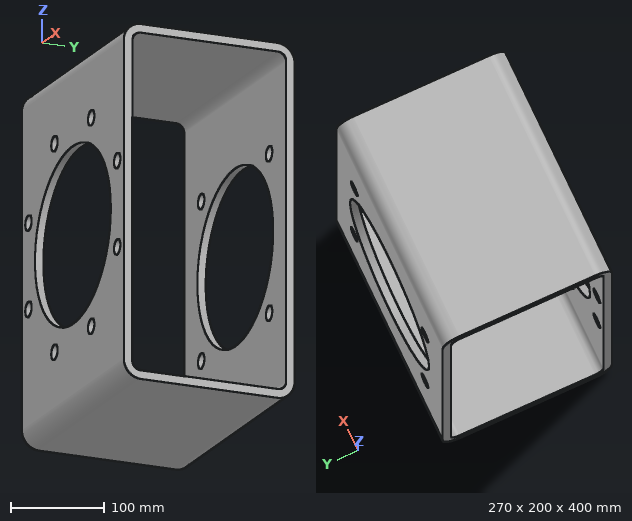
import cadquery as cq

length = 270.0
depth = 200.0
height = 400.0
wall = 10.0
outer_radius = 20.0
inner_radius = outer_radius - wall

bore_diameter = 200.0
bolt_hole_diameter = 17.0
bolt_circle_diameter = 254.0
front_bolt_count = 8
back_bolt_count = 4


def rounded_bar(bar_depth, bar_height, corner_radius):
    """Solid bar along X, centred on the origin, with rounded long edges."""
    return cq.Workplane("XY").box(length, bar_depth, bar_height).edges("|X").fillet(corner_radius)


def bolt_hole_cutters(bolt_count, reach):
    """Ring of pins from the mid-plane along -Y for a positive reach, +Y for a negative one.

    The ring starts half a pitch off the X axis, so no hole lies on an axis.
    """
    first_angle = 180.0 / bolt_count
    return (
        cq.Workplane("XZ")
        .polarArray(bolt_circle_diameter / 2, first_angle, 360, bolt_count)
        .circle(bolt_hole_diameter / 2)
        .extrude(reach)
    )


outer = rounded_bar(depth, height, outer_radius)
cavity = rounded_bar(depth - 2 * wall, height - 2 * wall, inner_radius)
bore = cq.Workplane("XZ").circle(bore_diameter / 2).extrude(depth / 2, both=True)

tube = outer.cut(cavity).cut(bore)
tube = tube.cut(bolt_hole_cutters(front_bolt_count, depth / 2))
result = tube.cut(bolt_hole_cutters(back_bolt_count, -depth / 2))